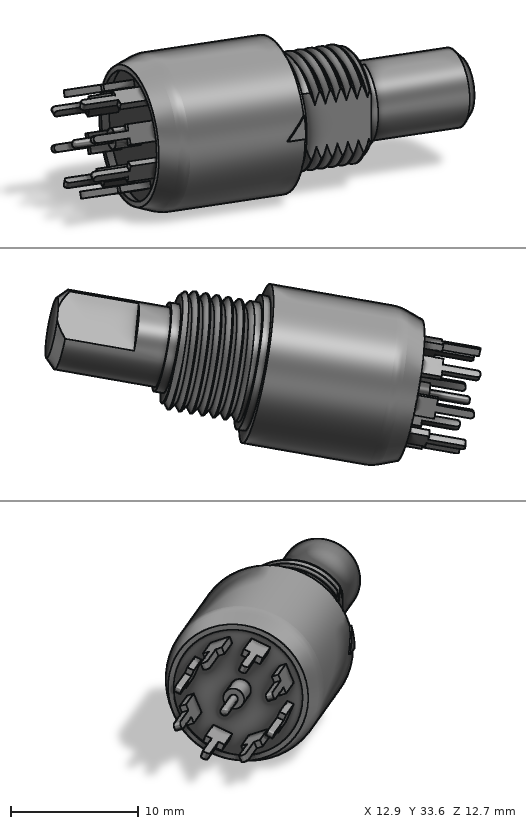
import cadquery as cq
import math


shell_radius = 6.35
shell_length = 12.3
rim_taper_angle = 20.0
rim_taper_length = 1.45
rim_blend_length = 0.95
recess_rim_radius = 5.2
recess_depth = 0.8

flange_radius = 5.38
flange_length = 0.6
bushing_radius = 4.77
bushing_front = 6.85
bushing_chamfer = 0.47
bushing_flat_offset = 3.85

thread_pitch = 0.9
thread_depth = 0.55
thread_crest_width = 0.1
thread_end = 1.15
groove_overcut = 0.17

mark_height = 0.15
mark_length = 1.55
mark_width = 1.85

shaft_radius = 3.2
shaft_tip = 16.43
shaft_chamfer = 0.77
shaft_flat_offset = 2.35
shaft_flat_length = 6.3
shaft_flat_angle = 22.5

ring_radius = 3.55
ring_length = 0.75
ring_gap_outer_width = 2.0
ring_gap_inner_width = 1.0
groove_radius = 2.92

contact_count = 8
contact_circle_radius = 4.03
blade_width = 1.65
blade_thickness = 0.57
blade_overhang = 1.8
pin_width = 0.6
pin_overhang = 4.87
hub_radius = 0.85
hub_overhang = 1.5
rod_radius = 0.35
rod_tip_rounding = 0.27

rim_y = -shell_length
recess_floor_y = rim_y + recess_depth
ring_front = bushing_front + ring_length


def cylinder_y(radius, y_from, y_to):
    """Solid cylinder on the Y axis between two places."""
    plane = cq.Workplane("XZ", origin=(0, y_from, 0))
    return plane.circle(radius).extrude(y_from - y_to)


def tube_y(outer_radius, inner_radius, y_from, y_to):
    """Hollow cylinder on the Y axis between two places."""
    return cylinder_y(outer_radius, y_from, y_to).cut(cylinder_y(inner_radius, y_from, y_to))


def make_shell():
    """Turned shell whose cone at the rim blends tangentially into the side, with a recessed end."""
    angle = math.radians(rim_taper_angle)
    blend_radius = rim_blend_length / math.sin(angle)
    blend_start_y = rim_y + rim_taper_length + rim_blend_length
    cone_radius = shell_radius - blend_radius * (1 - math.cos(angle))
    rim_radius = cone_radius - rim_taper_length * math.tan(angle)
    blend_middle = (
        shell_radius - blend_radius * (1 - math.cos(angle / 2)),
        blend_start_y - blend_radius * math.sin(angle / 2),
    )
    return (
        cq.Workplane("XY")
        .lineTo(shell_radius, 0)
        .lineTo(shell_radius, blend_start_y)
        .threePointArc(blend_middle, (cone_radius, rim_y + rim_taper_length))
        .lineTo(rim_radius, rim_y)
        .lineTo(recess_rim_radius, rim_y)
        .lineTo(recess_rim_radius + recess_depth * math.tan(angle), recess_floor_y)
        .lineTo(0, recess_floor_y)
        .close()
        .revolve(360, (0, 0, 0), (0, 1, 0))
    )


def make_thread_groove():
    """V groove that winds around the bushing, from the relief out past its front."""
    helix_height = bushing_front + thread_pitch - thread_end
    helix = cq.Wire.makeHelix(thread_pitch, helix_height, bushing_radius)
    half_width = (thread_pitch - thread_crest_width) / 2
    outer_half_width = half_width * (1 + groove_overcut / thread_depth)
    groove = (
        cq.Workplane("XZ")
        .moveTo(bushing_radius - thread_depth, 0)
        .lineTo(bushing_radius + groove_overcut, outer_half_width)
        .lineTo(bushing_radius + groove_overcut, -outer_half_width)
        .close()
        .sweep(cq.Workplane(obj=helix), isFrenet=True)
    )
    return groove.rotate((0, 0, 0), (1, 0, 0), -90).translate((0, thread_end, 0))


def make_bushing():
    """Threaded bushing with a chamfered front and a flat on its +X side."""
    blank = cylinder_y(bushing_radius, 0, bushing_front)
    chamfered_blank = blank.faces(">Y").chamfer(bushing_chamfer)
    bushing = blank.cut(make_thread_groove()).intersect(chamfered_blank)
    flat_cut = (
        cq.Workplane("XY")
        .box(bushing_radius, bushing_front, 2 * bushing_radius, centered=(False, False, True))
        .translate((bushing_flat_offset, 0, 0))
    )
    return bushing.cut(flat_cut)


def make_mark():
    """Raised right-angled triangle that follows the round side of the shell."""
    triangle = (
        cq.Workplane("YZ")
        .polyline([(0, 0), (0, mark_width), (-mark_length, 0)])
        .close()
        .extrude(shell_radius + mark_height)
    )
    return triangle.intersect(cylinder_y(shell_radius + mark_height, -mark_length, 0))


def make_contact():
    """Flat contact on the +Z side: a wide blade narrowing to a pin with a round end."""
    blade_y = rim_y - blade_overhang
    tip_y = rim_y - pin_overhang
    half_blade = blade_width / 2
    half_pin = pin_width / 2
    return (
        cq.Workplane("XY", origin=(0, 0, contact_circle_radius))
        .moveTo(half_blade, recess_floor_y)
        .lineTo(half_blade, blade_y)
        .lineTo(half_pin, blade_y)
        .lineTo(half_pin, tip_y + half_pin)
        .threePointArc((0, tip_y), (-half_pin, tip_y + half_pin))
        .lineTo(-half_pin, blade_y)
        .lineTo(-half_blade, blade_y)
        .lineTo(-half_blade, recess_floor_y)
        .close()
        .extrude(blade_thickness / 2, both=True)
    )


def make_centre_pin():
    """Thick hub carrying a thin rod with a rounded tip."""
    rod = (
        cylinder_y(rod_radius, recess_floor_y, rim_y - pin_overhang)
        .faces("<Y")
        .edges()
        .fillet(rod_tip_rounding)
    )
    return rod.union(cylinder_y(hub_radius, recess_floor_y, rim_y - hub_overhang))


def make_housing():
    """Shell, flange, threaded bushing and contacts in one piece, bored for the shaft."""
    housing = (
        make_shell()
        .union(cylinder_y(flange_radius, 0, flange_length))
        .union(make_bushing())
        .union(make_mark())
        .cut(cylinder_y(shaft_radius, 0, bushing_front))
        .union(make_centre_pin())
    )
    contact = make_contact()
    spacing = 360 / contact_count
    for index in range(contact_count):
        housing = housing.union(contact.rotate((0, 0, 0), (0, 1, 0), (index + 0.5) * spacing))
    return housing


def make_shaft():
    """Round shaft with a chamfered tip, one flat and a groove for the retaining ring."""
    shaft = cylinder_y(shaft_radius, 0, shaft_tip).faces(">Y").chamfer(shaft_chamfer)
    flat_cut = (
        cq.Workplane("XY")
        .box(shaft_radius, shaft_flat_length, 2 * shaft_radius, centered=(False, False, True))
        .translate((shaft_flat_offset, shaft_tip - shaft_flat_length, 0))
        .rotate((0, 0, 0), (0, 1, 0), 180 - shaft_flat_angle)
    )
    groove = tube_y(shaft_radius, groove_radius, bushing_front, ring_front)
    return shaft.cut(flat_cut).cut(groove)


def make_retaining_ring():
    """Open ring whose flared gap faces +Z."""
    ring = tube_y(ring_radius, groove_radius, bushing_front, ring_front)
    half_outer = ring_gap_outer_width / 2
    half_inner = ring_gap_inner_width / 2
    outer_z = math.sqrt(ring_radius**2 - half_outer**2)
    inner_z = math.sqrt(groove_radius**2 - half_inner**2)
    gap = (
        cq.Workplane("XZ", origin=(0, bushing_front, 0))
        .moveTo(-half_inner, inner_z)
        .lineTo(-half_outer, outer_z)
        .lineTo(-half_outer, ring_radius)
        .lineTo(half_outer, ring_radius)
        .lineTo(half_outer, outer_z)
        .lineTo(half_inner, inner_z)
        .threePointArc((0, groove_radius), (-half_inner, inner_z))
        .close()
        .extrude(-ring_length)
    )
    return ring.cut(gap)


housing = make_housing()
shaft = make_shaft()
retaining_ring = make_retaining_ring()

result = cq.Compound.makeCompound(
    [*housing.solids().vals(), *shaft.solids().vals(), *retaining_ring.solids().vals()]
)